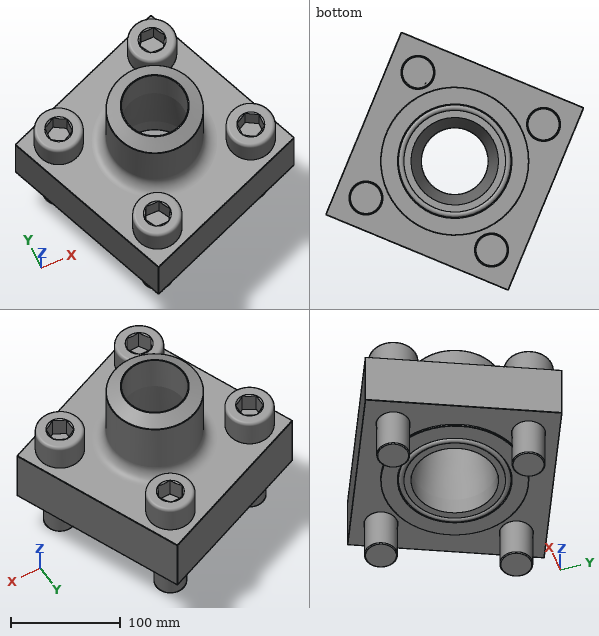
import cadquery as cq
import math

overall_width = 234.8
flange_tilt = 22.5
edge_break = 0.5

flange_top = 99.8
plate_thickness = 57.8
plate_bottom = flange_top - plate_thickness
raised_face_diameter = 135.0
raised_face_height = 2.0
face_bottom = plate_bottom - raised_face_height
neck_diameter = 89.0
neck_top = 175.0
neck_root_radius = 12.7
neck_tip_diameter = 62.7
bevel_angle = 30.0
bore_diameter = 60.5
bore_straight_length = 37.5
bore_taper_length = 79.8
bore_mouth_diameter = 79.5

groove_outer_diameter = 104.3
groove_inner_diameter = 92.5
seal_section = 5.0
seal_center_radius = (groove_inner_diameter + seal_section) / 2
seal_protrusion = 1.5
groove_depth = seal_section - seal_protrusion

screw_count = 4
screw_spacing = 123.8
screw_circle_radius = screw_spacing / math.sqrt(2)
shank_diameter = 30.0
shank_end_chamfer = 1.0
clearance_diameter = 31.0
head_diameter = 45.0
head_height = 30.3
head_edge_radius = 3.0
socket_corner_diameter = 25.4
socket_sides = 6
socket_depth = 20.0
socket_lead_angle = 30.0

tilt = math.radians(flange_tilt)
plate_side = (overall_width + 2 * edge_break * math.sin(tilt)) / (math.cos(tilt) + math.sin(tilt))
first_screw_angle = flange_tilt + 45
screw_angles = [first_screw_angle + 360 / screw_count * i for i in range(screw_count)]


def cylinder(diameter, bottom, top):
    return cq.Workplane("XY").workplane(offset=bottom).circle(diameter / 2).extrude(top - bottom)


def at_screw(shape, angle):
    """Move a shape from the Z axis out to one screw position, turning it with the flange."""
    return shape.translate((screw_circle_radius, 0, 0)).rotate((0, 0, 0), (0, 0, 1), angle)


def make_plate():
    plate = cq.Workplane("XY").box(plate_side, plate_side, plate_thickness, centered=(True, True, False))
    plate = plate.edges().chamfer(edge_break)
    return plate.rotate((0, 0, 0), (0, 0, 1), flange_tilt).translate((0, 0, plate_bottom))


def make_neck():
    """Revolved neck with a concave root fillet and a weld bevel at the tip."""
    neck_radius = neck_diameter / 2
    tip_radius = neck_tip_diameter / 2
    bevel = math.radians(bevel_angle)
    bevel_foot = neck_top - (neck_radius - tip_radius) * math.tan(bevel)
    root_top = flange_top + neck_root_radius
    arc_middle = neck_root_radius * (1 - math.sqrt(0.5))
    return (
        cq.Workplane("XZ")
        .moveTo(0, plate_bottom)
        .lineTo(neck_radius + neck_root_radius, plate_bottom)
        .lineTo(neck_radius + neck_root_radius, flange_top)
        .threePointArc((neck_radius + arc_middle, flange_top + arc_middle), (neck_radius, root_top))
        .lineTo(neck_radius, bevel_foot - edge_break)
        .lineTo(neck_radius - edge_break * math.cos(bevel), bevel_foot + edge_break * math.sin(bevel))
        .lineTo(tip_radius, neck_top)
        .lineTo(0, neck_top)
        .close()
        .revolve(360, (0, 0, 0), (0, 1, 0))
    )


def make_bore():
    """Passage through the flange: straight at the tip, widening to a straight mouth at the face."""
    bore_radius = bore_diameter / 2
    mouth_radius = bore_mouth_diameter / 2
    taper_top = neck_top - bore_straight_length
    taper_bottom = taper_top - bore_taper_length
    return (
        cq.Workplane("XZ")
        .moveTo(0, face_bottom)
        .lineTo(mouth_radius, face_bottom)
        .lineTo(mouth_radius, taper_bottom)
        .lineTo(bore_radius, taper_top)
        .lineTo(bore_radius, neck_top)
        .lineTo(0, neck_top)
        .close()
        .revolve(360, (0, 0, 0), (0, 1, 0))
    )


def make_flange():
    raised_face = cylinder(raised_face_diameter, face_bottom, plate_bottom)
    raised_face = raised_face.faces("<Z").edges().chamfer(edge_break)
    flange = make_plate().union(make_neck()).union(raised_face)

    groove_top = face_bottom + groove_depth
    groove = cylinder(groove_outer_diameter, face_bottom, groove_top)
    groove = groove.cut(cylinder(groove_inner_diameter, face_bottom, groove_top))
    flange = flange.cut(make_bore()).cut(groove)

    screw_hole = cylinder(clearance_diameter, face_bottom, flange_top)
    for angle in screw_angles:
        flange = flange.cut(at_screw(screw_hole, angle))
    return flange.solids()


def make_seal():
    section_center = face_bottom + groove_depth - seal_section / 2
    return (
        cq.Workplane("XZ")
        .center(seal_center_radius, section_center)
        .circle(seal_section / 2)
        .revolve(360, (-seal_center_radius, 0, 0), (-seal_center_radius, 1, 0))
    )


def make_screw(angle):
    head_top = flange_top + head_height
    head = cylinder(head_diameter, flange_top, head_top).edges().fillet(head_edge_radius)
    shank = cylinder(shank_diameter, 0, flange_top).faces("<Z").edges().chamfer(shank_end_chamfer)
    screw = head.union(shank)

    socket = (
        cq.Workplane("XY")
        .workplane(offset=head_top - socket_depth)
        .polygon(socket_sides, socket_corner_diameter)
        .extrude(socket_depth)
        .rotate((0, 0, 0), (0, 0, 1), -first_screw_angle)
    )
    cone_height = socket_corner_diameter / 2 * math.tan(math.radians(socket_lead_angle))
    lead_in = cq.Workplane(
        cq.Solid.makeCone(0, socket_corner_diameter / 2, cone_height, cq.Vector(0, 0, head_top - cone_height))
    )
    screw = screw.cut(socket).cut(lead_in)
    return at_screw(screw, angle).solids()


flange = make_flange()
seal = make_seal()
screws = [make_screw(angle) for angle in screw_angles]

result = cq.Compound.makeCompound([flange.val(), seal.val(), *[screw.val() for screw in screws]])